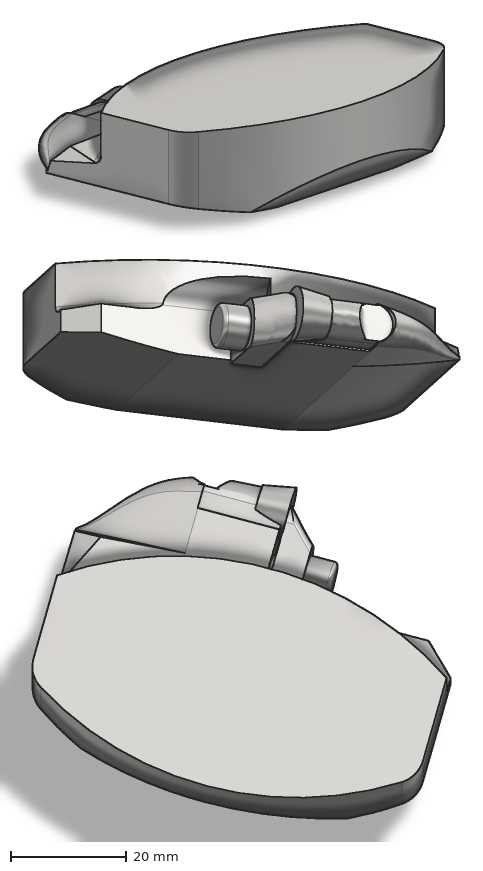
import cadquery as cq

HALF_LENGTH = 35.0
FAR_LEFT = -14.0

LENS_LEFT = 18.7
LENS_TIP_X = 29.6
LENS_RIGHT = 59.35
LENS_CORNER_X = 48.0
CORNER_RADIUS = 5.6
DECK_Z = -9.4
FOOT_RADIUS = 1.5

AXIS_Z = -13.15
ARM_HALF = 3.8
BOTTOM_Z = AXIS_Z - ARM_HALF
WALL_X = 21.4
WALL_CORNER_Y = 29.55
WALL_CORNER_X = 26.9
ARM_LEFT = 8.9
GAP = 0.7
NOSE_START_Y = -15.4
NOSE_WALL_X = 17.35
TIP_HALF = 0.3
EDGE_CHAMFER = 6.3
FACET_LENGTH = 11.2
FACET_WIDTH = 5.25
FACET_DROP = 1.75
WALL_LEAN = 1.4

RELIEF_RADIUS = 8.3
RELIEF_Z = -8.25

TUBE_MOUTH_RADIUS = 4.8
TUBE_X = TUBE_MOUTH_RADIUS
TUBE_NECK_RADIUS = 3.8
NECK_LEFT = TUBE_X - TUBE_NECK_RADIUS
NECK_END_LEFT = 1.95
TUBE_NECK_Y = -5.75
STRIP_HALF = 3.4
STRIP_LEFT = 5.6
BORE_DIAMETER = 7.15
BORE_Y = -14.55
BORE_FLOOR_X = 4.55

CLAMP_HALF = 4.4
CLAMP_DEPTH = 5.6
CLAMP_LEFT = 3.5
CLAMP_SHOULDER_X = 9.45
CLAMP_ROUND_X = 7.5
CLAMP_EDGE = 2.4
SCREW_X = 15.05
HEAD_DIAMETER = 7.9
HEAD_END_Y = 10.6
HEAD_ROUND = 0.8
SHANK_DIAMETER = 4.8
SHANK_END_Y = -10.5

TAPER_RUN = HALF_LENGTH + NOSE_START_Y
TAPER_DROP = ARM_HALF - TIP_HALF
TAPER_BULGE = 0.245


def taper_half(y):
    """Half thickness of the arm at a station y along the taper."""
    t = (NOSE_START_Y - y) / TAPER_RUN
    return ARM_HALF - TAPER_DROP * t + 4 * TAPER_BULGE * t * (1 - t)


def box(x0, x1, y0, y1, z0, z1):
    return cq.Workplane("XY").box(x1 - x0, y1 - y0, z1 - z0, centered=False).translate((x0, y0, z0))


def cylinder_y(x, z, radius, y0, y1):
    return cq.Workplane("XZ", origin=(x, y0, z)).circle(radius).extrude(y0 - y1)


def lens(depth):
    """Plate with two curved sides and flat ends, hanging down from Z = 0."""
    return (
        cq.Workplane("XY")
        .moveTo(LENS_TIP_X, -HALF_LENGTH)
        .lineTo(LENS_CORNER_X, -HALF_LENGTH)
        .threePointArc((LENS_RIGHT, 0), (LENS_CORNER_X, HALF_LENGTH))
        .lineTo(LENS_TIP_X, HALF_LENGTH)
        .threePointArc((LENS_LEFT, 0), (LENS_TIP_X, -HALF_LENGTH))
        .close()
        .extrude(-depth)
        .edges("|Z")
        .edges(">X")
        .fillet(CORNER_RADIUS)
    )


def plate_and_slab():
    """Lens standing on the slab, with a rounded foot along its left wall."""
    mid_x = (LENS_TIP_X + LENS_CORNER_X) / 2
    ledge = (
        cq.Workplane("XY", origin=(0, 0, BOTTOM_Z))
        .polyline([
            (mid_x, -HALF_LENGTH),
            (NOSE_WALL_X, -HALF_LENGTH),
            (NOSE_WALL_X, NOSE_START_Y),
            (ARM_LEFT, NOSE_START_Y),
            (ARM_LEFT, WALL_CORNER_Y),
            (WALL_CORNER_X, HALF_LENGTH),
            (mid_x, HALF_LENGTH),
        ])
        .close()
        .extrude(DECK_Z - BOTTOM_Z)
    )
    body = lens(-BOTTOM_Z).union(ledge)
    foot = cq.selectors.BoxSelector(
        (LENS_LEFT - 0.7, -HALF_LENGTH, DECK_Z - 0.1),
        (LENS_TIP_X, HALF_LENGTH, DECK_Z + 0.1),
    )
    return body.edges(foot).edges("%CIRCLE").fillet(FOOT_RADIUS)


def clamp_space():
    """Room for the clamp and its screw, with a round relief in the lens wall."""
    lower = box(FAR_LEFT, WALL_X, -GAP, HALF_LENGTH, 2 * BOTTOM_Z, RELIEF_Z)
    relief = cylinder_y(WALL_X - RELIEF_RADIUS, RELIEF_Z, RELIEF_RADIUS, -GAP, WALL_CORNER_Y)
    corner = (
        cq.Workplane("XY", origin=(0, 0, 2 * BOTTOM_Z))
        .polyline([
            (FAR_LEFT, WALL_CORNER_Y),
            (WALL_X, WALL_CORNER_Y),
            (WALL_CORNER_X, HALF_LENGTH),
            (FAR_LEFT, HALF_LENGTH),
        ])
        .close()
        .extrude(RELIEF_Z - 2 * BOTTOM_Z)
    )
    return lower.union(relief).union(corner)


def underside_envelope():
    """Side profile with a curved underside, extruded across the whole width."""
    mid_run = NOSE_START_Y - TAPER_RUN / 2
    mid_z = AXIS_Z - taper_half(mid_run)
    end_z = AXIS_Z - TIP_HALF
    profile = (
        cq.Workplane("YZ")
        .moveTo(-HALF_LENGTH, 0)
        .lineTo(-HALF_LENGTH, end_z)
        .threePointArc((mid_run, mid_z), (NOSE_START_Y, BOTTOM_Z))
        .lineTo(-NOSE_START_Y, BOTTOM_Z)
        .threePointArc((-mid_run, mid_z), (HALF_LENGTH, end_z))
        .lineTo(HALF_LENGTH, 0)
        .close()
    )
    return profile.extrude(LENS_RIGHT)


def edge_bevel():
    """Wedge that bevels the lower right edge."""
    return (
        cq.Workplane("XZ", origin=(0, HALF_LENGTH, 0))
        .polyline([
            (LENS_RIGHT - EDGE_CHAMFER, BOTTOM_Z),
            (LENS_RIGHT, BOTTOM_Z + EDGE_CHAMFER),
            (LENS_RIGHT, BOTTOM_Z),
        ])
        .close()
        .extrude(2 * HALF_LENGTH)
    )


def tetrahedron(corners):
    vectors = [cq.Vector(*corner) for corner in corners]
    faces = []
    for skipped in vectors:
        triangle = [v for v in vectors if v is not skipped]
        faces.append(cq.Face.makeFromWires(cq.Wire.makePolygon(triangle, close=True)))
    return cq.Workplane(cq.Solid.makeSolid(cq.Shell.makeShell(faces)))


def deck_facet():
    """Small sloping facet at the front corner of the deck."""
    x, y = NOSE_WALL_X, -HALF_LENGTH
    return tetrahedron([
        (x, y, DECK_Z),
        (x + FACET_LENGTH, y, DECK_Z),
        (x, y + FACET_WIDTH, DECK_Z),
        (x, y, DECK_Z - FACET_DROP),
    ])


def leaning_wall():
    """Wedge that leans the wall between nose and deck back towards the tip."""
    x, y = NOSE_WALL_X, -HALF_LENGTH
    return tetrahedron([
        (x, y, DECK_Z),
        (x + WALL_LEAN, y, DECK_Z),
        (x, NOSE_START_Y, DECK_Z),
        (x, y, AXIS_Z + TIP_HALF),
    ])


def rounded_section(y, left, right, half, reach):
    """Bar section across Y whose left end is a half ellipse reaching along X."""
    centre = left + reach
    return (
        cq.Workplane("XZ", origin=(0, y, AXIS_Z))
        .moveTo(centre, half)
        .ellipseArc(reach, half, 90, 270, startAtCurrent=True)
        .lineTo(right, -half)
        .lineTo(right, half)
        .close()
        .val()
    )


def nose():
    """Pointed, round-edged end of the arm."""
    left_edge = [(NOSE_START_Y, 2.1), (-18.75, 3.2), (-21.5, 4.35), (-27.85, 9.4), (-HALF_LENGTH, 17.0)]
    wires = []
    for y, left in left_edge:
        half = taper_half(y)
        wires.append(rounded_section(y, left, NOSE_WALL_X, half, half))
    return cq.Workplane(cq.Solid.makeLoft(wires, False))


def tube():
    """Flared mouth running into a round-edged neck on the arm."""
    spin = (
        cq.Workplane("XY", origin=(TUBE_X, 0, AXIS_Z))
        .polyline([
            (0, 0),
            (-TUBE_MOUTH_RADIUS, 0),
            (-TUBE_NECK_RADIUS, TUBE_NECK_Y),
            (0, TUBE_NECK_Y),
        ])
        .close()
        .revolve(360, (0, 0, 0), (0, 1, 0))
    )
    neck = cq.Solid.makeLoft(
        [
            rounded_section(-GAP, NECK_LEFT, ARM_LEFT, STRIP_HALF, STRIP_LEFT - NECK_LEFT),
            rounded_section(NOSE_START_Y, NECK_END_LEFT, ARM_LEFT, STRIP_HALF, STRIP_LEFT - NECK_END_LEFT),
        ],
        True,
    )
    return spin.union(cq.Workplane(neck))


def side_bore():
    return (
        cq.Workplane("YZ", origin=(FAR_LEFT, BORE_Y, AXIS_Z))
        .circle(BORE_DIAMETER / 2)
        .extrude(BORE_FLOOR_X - FAR_LEFT)
    )


def make_housing():
    shank_hole = cylinder_y(SCREW_X, AXIS_Z, SHANK_DIAMETER / 2, SHANK_END_Y, 0)
    base = plate_and_slab().cut(clamp_space()).intersect(underside_envelope())
    base = base.cut(edge_bevel()).cut(deck_facet()).cut(leaning_wall())
    return base.union(nose()).union(tube()).cut(side_bore()).cut(shank_hole)


def make_clamp():
    """Beveled block and the screw through it, as one body."""
    bevel_ends = [(0, CLAMP_LEFT), (CLAMP_DEPTH, CLAMP_SHOULDER_X)]
    sections = [rounded_section(y, left, WALL_X, CLAMP_HALF, CLAMP_EDGE) for y, left in bevel_ends]
    block = cq.Workplane(cq.Solid.makeLoft(sections, True))
    end_profile = rounded_section(0, CLAMP_ROUND_X - CLAMP_HALF, WALL_X, CLAMP_HALF, CLAMP_HALF)
    round_end = cq.Workplane("XZ").add(end_profile).toPending().extrude(-CLAMP_DEPTH)
    head = cylinder_y(SCREW_X, AXIS_Z, HEAD_DIAMETER / 2, CLAMP_DEPTH, HEAD_END_Y)
    head = head.faces(">Y").fillet(HEAD_ROUND)
    shank = cylinder_y(SCREW_X, AXIS_Z, SHANK_DIAMETER / 2, SHANK_END_Y, CLAMP_DEPTH)
    return block.intersect(round_end).union(head).union(shank)


housing = make_housing()
clamp = make_clamp()
result = cq.Compound.makeCompound([housing.val(), clamp.val()])